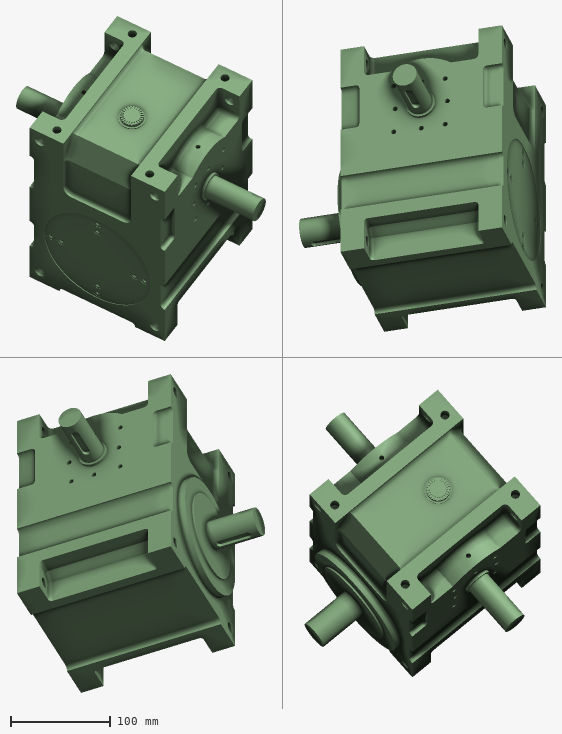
import cadquery as cq
import math


housing_width = 160.0
housing_depth = 170.0
housing_height = 240.0
half_width = housing_width / 2
half_depth = housing_depth / 2
relief_depth = 5.0
relief_fillet = 4.8
corner_fillet = 4.0
overshoot = 28.0
pick_margin = 0.3

saddle_width = 80.0
saddle_bottom = 160.0
saddle_corner_radius = 10.0
roof_slope_depth = 15.0
roof_slope_height = 25.0

notch_bottom = 145.0
notch_top = 195.0
notch_reach = 20.0
channel_bottom = 50.0
channel_top = 90.0
foot_channel_width = 90.0

pocket_length = 120.0
pocket_height = 35.0
pocket_depth = 25.0
pocket_fillet = 5.0
pocket_ceiling_chamfer = 8.5
bearing_boss_radius = 55.0
oil_hole_diameter = 5.0
oil_hole_inset = 12.3
oil_hole_depth = 9.8

foot_hole_diameter = 11.2
foot_hole_x = 68.0
foot_hole_inset_z = 15.0
top_hole_diameter = 9.2
top_hole_x = 55.0
top_hole_y = 73.0
top_hole_depth = 15.5
drill_tip_angle = 118.0

input_axis_z = 160.0
input_tip_x = 140.0
input_diameter = 25.2
input_collar_diameter = 30.2
input_collar_length = 3.0
input_key_length = 35.0
input_key_gap = 9.8

side_hole_diameter = 5.3
side_hole_depth = 8.5
inner_hole_radius = 27.5
outer_pattern_pitch = 54.0
outer_pattern_y = 2.0

output_axis_z = 80.0
output_tip_y = half_depth + 62.2
output_diameter = 30.0
output_key_length = 37.8
output_key_gap = 8.7
flange_diameter = 125.0
flange_thickness = 8.0
flange_pad_diameter = 91.0
flange_pad_thickness = 2.0
key_width = 8.0
key_depth = 4.0

cover_recess = 0.8
outer_screw_radius = 55.5
outer_screw_head = 10.0
inner_screw_radius = 43.0
inner_screw_head = 9.2
screw_head_recess = 0.3
socket_size = 4.8
socket_depth = 2.5

plug_y = -17.5
plug_flange_diameter = 28.0
plug_flange_thickness = 1.0
plug_diameter = 24.0
plug_face_diameter = 17.0
plug_notch_count = 24
plug_notch_width = 1.0
plug_notch_depth = 1.5


def block(x_range, y_range, z_range):
    """Box between the given limits along each axis."""
    (x0, x1), (y0, y1), (z0, z1) = x_range, y_range, z_range
    return cq.Workplane("XY").box(x1 - x0, y1 - y0, z1 - z0, centered=False).translate((x0, y0, z0))


def rod_x(diameter, x0, x1, y, z):
    """Cylinder along X."""
    return cq.Workplane("YZ", origin=(x0, y, z)).circle(diameter / 2).extrude(x1 - x0)


def rod_y(diameter, y0, y1, x, z):
    """Cylinder along Y."""
    return cq.Workplane("XZ", origin=(x, y0, z)).circle(diameter / 2).extrude(y0 - y1)


def both_sides(shape):
    """The shape together with its mirror image across the YZ plane."""
    return shape.union(shape.mirror("YZ"))


def drill(diameter, depth):
    """Drill shape entering a face at the origin along -Z, with a conical tip."""
    radius = diameter / 2
    tip = radius / math.tan(math.radians(drill_tip_angle / 2))
    profile = [(0, 0), (radius, 0), (radius, -depth), (0, -depth - tip)]
    return cq.Workplane("XZ").polyline(profile).close().revolve(360, (0, 0), (0, 1))


def saddle_cutter():
    """Material around the lowered roof, with its edges rounded into the housing."""
    wall_y = half_depth - relief_depth
    roof_z = housing_height - relief_depth
    slope_y = wall_y - roof_slope_depth
    slope_z = roof_z - roof_slope_height
    reach_y = half_depth + overshoot
    half_saddle = saddle_width / 2
    core = (
        cq.Workplane("YZ")
        .polyline([(-wall_y, 0), (-wall_y, slope_z), (-slope_y, roof_z),
                   (slope_y, roof_z), (wall_y, slope_z), (wall_y, 0)])
        .close()
        .extrude(saddle_width, both=True)
    )
    cutter = block((-half_saddle, half_saddle), (-reach_y, reach_y),
                   (saddle_bottom, housing_height + overshoot))
    cutter = cutter.edges("|Y and <Z").fillet(saddle_corner_radius).cut(core)
    on_core = cq.selectors.BoxSelector(
        (-half_saddle - pick_margin, -wall_y - pick_margin, saddle_bottom - pick_margin),
        (half_saddle + pick_margin, wall_y + pick_margin, roof_z + pick_margin), boundingbox=True)
    inner_edges = cutter.edges(on_core)
    creases = inner_edges.edges("|X").filter(lambda edge: edge.Center().z > saddle_bottom + pick_margin)
    rounded = [edge for edge in inner_edges.vals() if edge not in creases.vals()]
    return cutter.newObject(rounded).fillet(relief_fillet)


def side_channel():
    """Shallow channel along Y in the left side."""
    cutter = block((-half_width - overshoot, -half_width + relief_depth),
                   (-half_depth, half_depth), (channel_bottom, channel_top))
    return cutter.edges("|Y and >X").fillet(relief_fillet)


def foot_channel():
    """Shallow channel along Y between the feet."""
    cutter = block((-foot_channel_width / 2, foot_channel_width / 2),
                   (-half_depth, half_depth), (-overshoot, relief_depth))
    return cutter.edges("|Y and >Z").fillet(relief_fillet)


def side_notches():
    """Shallow notches at the front and back corners of the left side."""
    cutter = block((-half_width - overshoot, -half_width + relief_depth),
                   (-half_depth - overshoot, -half_depth + notch_reach), (notch_bottom, notch_top))
    cutter = cutter.edges("(>X and >Y) or (>X and |Y) or (>Y and |X)").fillet(corner_fillet)
    return cutter.union(cutter.mirror("XZ"))


def upper_pocket():
    """Pocket in the left side, open to the top, leaving an arched bearing boss."""
    floor_z = housing_height - pocket_height
    back_x = -half_width + pocket_depth
    half_length = pocket_length / 2
    cutter = block((-half_width - overshoot, back_x), (-half_length, half_length),
                   (floor_z, housing_height + overshoot))
    boss = rod_x(2 * bearing_boss_radius, -half_width - 2 * overshoot, 0, 0, input_axis_z)
    cutter = cutter.cut(boss)
    back_edges = cq.selectors.BoxSelector(
        (back_x - pick_margin, -half_length - pick_margin, floor_z - pick_margin),
        (back_x + pick_margin, half_length + pick_margin, housing_height + 2 * overshoot), boundingbox=True)
    back_edges = back_edges - cq.selectors.StringSyntaxSelector(">Z")
    end_edges = cq.selectors.StringSyntaxSelector("|X and (>Y or <Y) and (not >Z)")
    return cutter.edges(back_edges + end_edges).fillet(pocket_fillet)


def lower_pocket():
    """Pocket in the left side, open to the bottom, chamfered where the ceiling meets the back."""
    cutter = block((-half_width - overshoot, -half_width + pocket_depth),
                   (-pocket_length / 2, pocket_length / 2), (-overshoot, pocket_height))
    cutter = cutter.edges("|Y and >X and >Z").chamfer(pocket_ceiling_chamfer)
    return cutter.faces("<Y or >Y").edges("not (<X or <Z)").fillet(corner_fillet)


def foot_holes():
    """Holes along Y through the four corners."""
    holes = cq.Workplane("XY")
    for x in (-foot_hole_x, foot_hole_x):
        for z in (foot_hole_inset_z, housing_height - foot_hole_inset_z):
            holes = holes.union(rod_y(foot_hole_diameter, -half_depth, half_depth, x, z))
    return holes


def top_holes():
    """Blind holes in the four top corners."""
    hole = drill(top_hole_diameter, top_hole_depth)
    holes = cq.Workplane("XY")
    for x in (-top_hole_x, top_hole_x):
        for y in (-top_hole_y, top_hole_y):
            holes = holes.union(hole.translate((x, y, housing_height)))
    return holes


def side_screw_holes():
    """Two patterns of four blind holes around the input shaft on the left side."""
    hole = drill(side_hole_diameter, side_hole_depth).rotate((0, 0, 0), (0, 1, 0), -90)
    half_pitch = outer_pattern_pitch / 2
    places = [(outer_pattern_y + sy * half_pitch, sz * half_pitch) for sy in (-1, 1) for sz in (-1, 1)]
    for step in range(4):
        angle = math.radians(90 * step)
        places.append((inner_hole_radius * math.cos(angle), inner_hole_radius * math.sin(angle)))
    holes = cq.Workplane("XY")
    for y, z in places:
        holes = holes.union(hole.translate((-half_width, y, input_axis_z + z)))
    return holes


def oil_hole():
    """Vertical hole in the crown of the left bearing boss."""
    hole = drill(oil_hole_diameter, oil_hole_depth)
    return hole.translate((-half_width + oil_hole_inset, 0, input_axis_z + bearing_boss_radius))


def cover_cutter():
    """Shallow round recess of the front cover with its socket-head screws."""
    cover_y = -half_depth + cover_recess
    cutter = rod_y(flange_diameter, -half_depth, cover_y, 0, output_axis_z)
    cover_face = cq.Workplane("XZ", origin=(0, cover_y, output_axis_z))
    rings = ((outer_screw_radius, outer_screw_head), (inner_screw_radius, inner_screw_head))
    for ring_radius, head in rings:
        screws = cover_face.polarArray(ring_radius, 0, 360, 4)
        heads = screws.circle(head / 2).extrude(-screw_head_recess)
        sockets = screws.polygon(6, socket_size).extrude(-socket_depth)
        cutter = cutter.union(heads).union(sockets)
    return cutter


def keyway(length):
    """Round-ended key slot along X, centred on the origin and reaching key_depth above it."""
    return cq.Workplane("XY").slot2D(length, key_width).extrude(key_depth, both=True)


def input_shaft():
    """Left end of the input shaft with collar and keyway underneath."""
    shaft = rod_x(input_diameter, -input_tip_x, -half_width, 0, input_axis_z)
    key_x = -input_tip_x + input_key_gap + input_key_length / 2
    shaft = shaft.cut(keyway(input_key_length).translate((key_x, 0, input_axis_z - input_diameter / 2)))
    collar = rod_x(input_collar_diameter, -half_width - input_collar_length, -half_width, 0, input_axis_z)
    return shaft.union(collar)


def output_shaft():
    """Output shaft with flange, pad and keyway underneath."""
    flange_y = half_depth + flange_thickness
    shaft = rod_y(output_diameter, half_depth, output_tip_y, 0, output_axis_z)
    key = keyway(output_key_length).rotate((0, 0, 0), (0, 0, 1), 90)
    key_y = output_tip_y - output_key_gap - output_key_length / 2
    shaft = shaft.cut(key.translate((0, key_y, output_axis_z - output_diameter / 2)))
    flange = rod_y(flange_diameter, half_depth, flange_y, 0, output_axis_z)
    pad = rod_y(flange_pad_diameter, flange_y, flange_y + flange_pad_thickness, 0, output_axis_z)
    return shaft.union(flange).union(pad)


def filler_plug():
    """Round plug on the roof, its rim notched all round for grip."""
    roof_z = housing_height - relief_depth
    plug = cq.Workplane("XY").circle(plug_diameter / 2).extrude(relief_depth)
    rim_width = (plug_diameter - plug_face_diameter) / 2
    notches = (
        cq.Workplane("XY", origin=(0, 0, relief_depth - plug_notch_depth))
        .polarArray(plug_diameter / 2, 0, 360, plug_notch_count)
        .rect(2 * rim_width, plug_notch_width)
        .extrude(plug_notch_depth)
    )
    flange = cq.Workplane("XY").circle(plug_flange_diameter / 2).extrude(plug_flange_thickness)
    return plug.cut(notches).union(flange).translate((0, plug_y, roof_z))


housing = block((-half_width, half_width), (-half_depth, half_depth), (0, housing_height))
housing = housing.cut(saddle_cutter()).cut(foot_channel())
for side_cutter in (side_channel(), side_notches(), upper_pocket(), lower_pocket(),
                    side_screw_holes(), oil_hole()):
    housing = housing.cut(both_sides(side_cutter))
housing = housing.cut(foot_holes()).cut(top_holes()).cut(cover_cutter())

result = housing.union(both_sides(input_shaft())).union(output_shaft()).union(filler_plug())